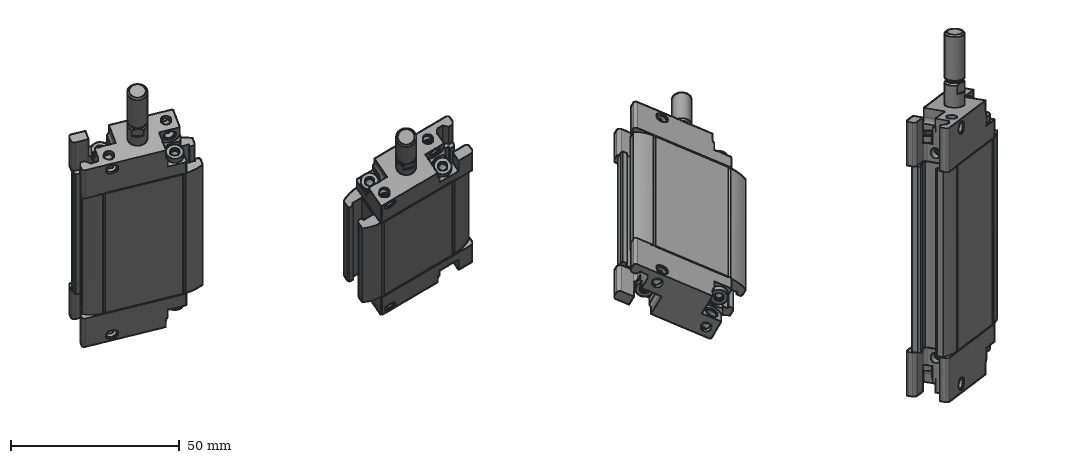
import cadquery as cq
import math


total_height = 110.0
cap_height = 14.0
barrel_height = 59.1
rod_base_z = 2 * cap_height + barrel_height
rod_length = total_height - rod_base_z

cap_width = 14.0
cap_half = cap_width / 2
cap_back_y = 13.2
cap_front_y = -19.2
back_chamfer = 0.3

cap_channel_y = -13.3
neck_half = 3.7
undercut_half = 5.1
undercut_radius = 1.3
undercut_start_y = -16.1
undercut_end_y = -17.4
channel_fillet = 0.9
horn_inner_round = 1.1
horn_outer_round = 0.9

hole_x = 3.7
hole_y = 10.0
cross_hole_depth = 2.9
cross_hole_diameter = 3.2
cross_hole_mouth = 4.0
seat_radius = 3.3
pocket_end_y = 14.0
pocket_depth = 8.2
screw_y = 10.5
screw_pocket_diameter = 6.3
head_diameter = 5.3
head_height = 2.0

drill_point_angle = 120.0
end_diameter = 3.2
end_bore_diameter = 2.4
end_wide_depth = 5.0
end_depth = 6.0
socket_diameter = 2.9
socket_bore_diameter = 2.4
socket_wide_depth = 0.9
socket_depth = 1.3
port_z = 11.0
port_wide_depth = 2.8
port_depth = 3.8

barrel_half = 6.7
barrel_end_y = 18.7
groove_inner_y = 12.0
groove_outer_y = 12.9
side_groove_depth = 0.5
flank_mid_x = 6.3
flank_mid_y = 15.8
tip_half = 5.2
lip_half = 2.4
lip_y = 16.9
lip_bevel_x = 0.8
lip_bevel_y = 0.3
barrel_channel_half = 3.2
barrel_channel_y = 13.6

rod_diameter = 6.0
rod_radius = rod_diameter / 2
tip_chamfer = 0.5
thread_length = 14.4
groove_width = 1.6
groove_depth = 0.5
flat_length = 2.6
across_flats = 5.0
flat_angle = -15.0


def block(x0, x1, y0, y1, z0, z1):
    """Box between two corners."""
    return cq.Workplane("XY").box(x1 - x0, y1 - y0, z1 - z0, centered=False).translate((x0, y0, z0))


def stepped_hole(wide_diameter, wide_depth, bore_diameter, depth):
    """Blind hole along +Z from the origin: a wide stretch, a narrower bore and a conical tip."""
    wide_radius = wide_diameter / 2
    bore_radius = bore_diameter / 2
    tip_length = bore_radius / math.tan(math.radians(drill_point_angle / 2))
    return (
        cq.Workplane("XZ")
        .lineTo(wide_radius, 0)
        .lineTo(wide_radius, wide_depth)
        .lineTo(bore_radius, wide_depth)
        .lineTo(bore_radius, depth)
        .lineTo(0, depth + tip_length)
        .close()
        .revolve(360, (0, 0, 0), (0, 1, 0))
    )


def cap_blank():
    """Cap outline with its front channel: straight wall at -X, undercut wall at +X."""
    arc = math.sqrt(0.5)
    inner_bulge = horn_inner_round * (1 - arc)
    outer_bulge = horn_outer_round * (1 - arc)
    inner_start_y = cap_front_y + horn_inner_round
    outer_start_y = cap_front_y + horn_outer_round
    inner_mid = (neck_half + inner_bulge, cap_front_y + inner_bulge)
    outer_mid = (cap_half - outer_bulge, cap_front_y + outer_bulge)
    corner_x = undercut_half - undercut_radius
    corner_y = cap_channel_y - undercut_radius
    fillet_x = channel_fillet - neck_half
    return (
        cq.Workplane("XY")
        .moveTo(-cap_half, cap_back_y - back_chamfer)
        .lineTo(-cap_half + back_chamfer, cap_back_y)
        .lineTo(cap_half - back_chamfer, cap_back_y)
        .lineTo(cap_half, cap_back_y - back_chamfer)
        .lineTo(cap_half, outer_start_y)
        .threePointArc(outer_mid, (cap_half - horn_outer_round, cap_front_y))
        .lineTo(neck_half + horn_inner_round, cap_front_y)
        .threePointArc(inner_mid, (neck_half, inner_start_y))
        .lineTo(neck_half, undercut_end_y)
        .lineTo(undercut_half, undercut_start_y)
        .lineTo(undercut_half, corner_y)
        .threePointArc(
            (corner_x + undercut_radius * arc, corner_y + undercut_radius * arc),
            (corner_x, cap_channel_y),
        )
        .lineTo(fillet_x, cap_channel_y)
        .threePointArc(
            (fillet_x - channel_fillet * arc, cap_channel_y - channel_fillet * (1 - arc)),
            (-neck_half, cap_channel_y - channel_fillet),
        )
        .lineTo(-neck_half, inner_start_y)
        .threePointArc((-inner_mid[0], inner_mid[1]), (-neck_half - horn_inner_round, cap_front_y))
        .lineTo(-cap_half + horn_outer_round, cap_front_y)
        .threePointArc((-outer_mid[0], outer_mid[1]), (-cap_half, outer_start_y))
        .close()
        .extrude(cap_height)
    )


def screw_pocket():
    """Pocket in the -X, -Y corner: a round-bottomed seat with a deeper recess for the screw head.

    The recess is open to the -X side and, past a 45 degree edge, to the front channel.
    """
    seat_end_y = seat_radius - hole_y
    seat = block(-cap_half, 0, -pocket_end_y, seat_end_y, 0, cross_hole_depth)
    seat_round = (
        cq.Workplane("YZ")
        .center(-hole_y, cross_hole_depth)
        .circle(seat_radius)
        .extrude(-cap_half)
    )
    radius = screw_pocket_diameter / 2
    recess = cq.Workplane("XY").center(-hole_x, -screw_y).circle(radius).extrude(pocket_depth)
    side_opening = block(-cap_half, -hole_x, -pocket_end_y, radius - screw_y, 0, pocket_depth)
    reach = pocket_end_y - screw_y
    front_opening = (
        cq.Workplane("XY")
        .moveTo(-hole_x, -screw_y)
        .lineTo(reach - hole_x, -pocket_end_y)
        .lineTo(-hole_x, -pocket_end_y)
        .close()
        .extrude(pocket_depth)
    )
    return seat.union(seat_round).union(recess).union(side_opening).union(front_opening)


def screw_head():
    """Round screw head standing on the pocket floor."""
    head_z = pocket_depth - head_height
    centre = (-hole_x, -screw_y, head_z)
    return cq.Workplane("XY", origin=centre).circle(head_diameter / 2).extrude(head_height)


def cross_hole():
    """Hole along X from the pocket seat at X = 0 to the +X side, countersunk at both ends."""
    bore_radius = cross_hole_diameter / 2
    mouth_radius = cross_hole_mouth / 2
    mouth = mouth_radius - bore_radius
    return (
        cq.Workplane("XY")
        .moveTo(0, 0)
        .lineTo(0, mouth_radius)
        .lineTo(mouth, bore_radius)
        .lineTo(cap_half - mouth, bore_radius)
        .lineTo(cap_half, mouth_radius)
        .lineTo(cap_half, 0)
        .close()
        .revolve(360, (0, 0, 0), (1, 0, 0))
        .translate((0, -hole_y, cross_hole_depth))
    )


def end_hole():
    """Blind hole in the outer face, in the +X, -Y corner."""
    hole = stepped_hole(end_diameter, end_wide_depth, end_bore_diameter, end_depth)
    return hole.translate((hole_x, -hole_y, 0))


def screw_socket():
    """Socket in the top of the screw head."""
    hole = stepped_hole(socket_diameter, socket_wide_depth, socket_bore_diameter, socket_depth)
    return hole.translate((-hole_x, -screw_y, pocket_depth - head_height))


def air_port():
    """Blind hole along +Y in the floor of the front channel."""
    hole = stepped_hole(end_diameter, port_wide_depth, end_bore_diameter, port_depth)
    return hole.rotate((0, 0, 0), (1, 0, 0), -90).translate((0, cap_channel_y, port_z))


def make_cap():
    """End cap with its outer face at Z = 0 and its barrel face at Z = cap_height."""
    cap = cap_blank()
    for turn in (0, 180):
        axis = ((0, 0, 0), (0, 0, 1), turn)
        cap = cap.cut(screw_pocket().rotate(*axis))
        cap = cap.union(screw_head().rotate(*axis))
        for hole in (screw_socket(), end_hole(), cross_hole()):
            cap = cap.cut(hole.rotate(*axis))
    return cap.cut(air_port())


def make_barrel():
    """Extruded profile: V-grooved flat sides and, at each Y end, two curved horns with inward lips."""
    groove_y = (groove_inner_y + groove_outer_y) / 2
    quarter = (
        cq.Workplane("XY", origin=(0, 0, cap_height))
        .lineTo(barrel_half, 0)
        .lineTo(barrel_half, groove_inner_y)
        .lineTo(barrel_half - side_groove_depth, groove_y)
        .lineTo(barrel_half, groove_outer_y)
        .threePointArc((flank_mid_x, flank_mid_y), (tip_half, barrel_end_y))
        .lineTo(lip_half + lip_bevel_x, barrel_end_y)
        .lineTo(lip_half, barrel_end_y - lip_bevel_y)
        .lineTo(lip_half, lip_y)
        .lineTo(barrel_channel_half, lip_y)
        .lineTo(barrel_channel_half, barrel_channel_y)
        .lineTo(0, barrel_channel_y)
        .close()
        .extrude(barrel_height)
    )
    half = quarter.union(quarter.mirror("YZ"))
    return half.union(half.mirror("XZ")).clean()


def make_rod():
    """Rod with a chamfered tip, a thread relief groove and two wrench flats."""
    thread_end = rod_length - thread_length
    shank_end = thread_end - groove_width
    neck_radius = rod_radius - groove_depth
    rod = (
        cq.Workplane("XZ")
        .moveTo(0, 0)
        .lineTo(rod_radius, 0)
        .lineTo(rod_radius, shank_end)
        .lineTo(neck_radius, shank_end + groove_depth)
        .lineTo(neck_radius, thread_end - groove_depth)
        .lineTo(rod_radius, thread_end)
        .lineTo(rod_radius, rod_length - tip_chamfer)
        .lineTo(rod_radius - tip_chamfer, rod_length)
        .lineTo(0, rod_length)
        .close()
        .revolve(360, (0, 0, 0), (0, 1, 0))
    )
    flat_start = shank_end - flat_length
    flat_end = thread_end - groove_depth
    for turn in (0, 180):
        flat = block(across_flats / 2, rod_radius, -rod_radius, rod_radius, flat_start, flat_end)
        rod = rod.cut(flat.rotate((0, 0, 0), (0, 0, 1), flat_angle + turn))
    return rod.translate((0, 0, rod_base_z))


bottom_cap = make_cap()
top_cap = make_cap().mirror("XY").translate((0, 0, rod_base_z))
barrel = make_barrel()
rod = make_rod()

result = cq.Compound.makeCompound([bottom_cap.val(), barrel.val(), top_cap.val(), rod.val()])